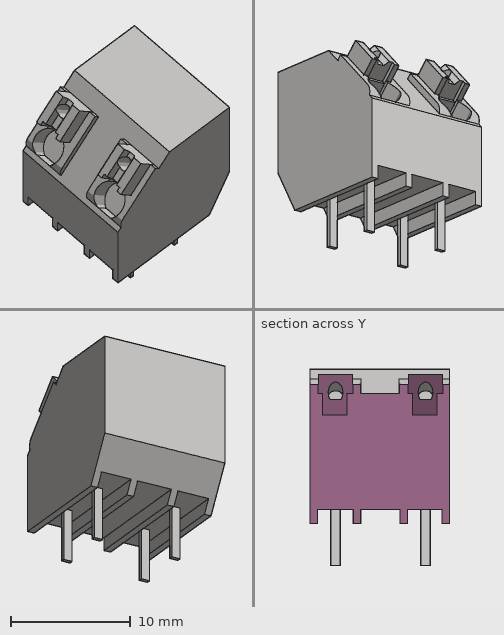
import cadquery as cq
import math


width = 11.63
depth = 12.7
height = 12.87
front_height = 7.0
rear_chamfer_run = 2.28
rear_chamfer_rise = rear_chamfer_run * math.tan(math.radians(60))

pole_pitch = 7.5
first_pole_x = 2.13
pole_centres = [first_pole_x, first_pole_x + pole_pitch]

foot_height = 1.17
foot_width = 0.64
inner_foot_left = 3.6
channels = [
    (foot_width, inner_foot_left),
    (inner_foot_left + foot_width, pole_pitch),
    (pole_pitch + foot_width, width - foot_width),
]

pad_width = 4.25
pad_length = 6.05
pad_height = 0.55
pad_round_length = 0.9
pad_round_radius = (pad_round_length**2 + pad_height**2) / (2 * pad_height)
pad_foot_y = 0.37
second_pad_left = 7.42
pad_spans = [(0, pad_width), (second_pad_left, width)]

entry_offset = -0.07
entry_radius = 1.54
entry_centre_v = 1.35
entry_floor = -1.27

cap_width = 2.85
cap_length = 3.19
cap_height = 1.583
cap_low_end = pad_length - cap_length
cap_top = pad_height + cap_height
stem_width = 1.99
stem_length = 2.85

notch_width = 1.87
notch_length = 0.39
notch_floor = 0.25

groove_top_width = 1.18
groove_floor_width = 0.6
groove_depth = 0.49
groove_floor = cap_top - groove_depth
dimple_radius = groove_top_width / 2
dimple_centre_v = 4.99
dimple_depth = 2.0

pin_width = 0.8
pin_thickness = 0.38
pin_drop = 3.5
pin_rows = [3.08, 8.08]

slope = cq.Plane(
    origin=(0, pad_foot_y, front_height + pad_foot_y),
    xDir=(1, 0, 0),
    normal=(0, -1, 1),
)


def slope_box(u_min, u_max, v_min, v_max, w_min, w_max):
    """A block aligned with the slope."""
    return (
        cq.Workplane(slope)
        .workplane(offset=w_min)
        .moveTo((u_min + u_max) / 2, (v_min + v_max) / 2)
        .rect(u_max - u_min, v_max - v_min)
        .extrude(w_max - w_min)
    )


def slope_cylinder(u, v, radius, w_min, w_max):
    """A cylinder standing square to the slope."""
    return (
        cq.Workplane(slope)
        .workplane(offset=w_min)
        .center(u, v)
        .circle(radius)
        .extrude(w_max - w_min)
    )


def make_pad(left, right):
    """A raised pad whose lower end curves down to the slope."""
    side = cq.Plane(origin=slope.toWorldCoords((left, 0, 0)), xDir=slope.yDir, normal=(1, 0, 0))
    return (
        cq.Workplane(side)
        .moveTo(0, 0)
        .radiusArc((pad_round_length, pad_height), pad_round_radius)
        .lineTo(pad_length, pad_height)
        .lineTo(pad_length, -pad_height)
        .lineTo(pad_round_length, -pad_height)
        .close()
        .extrude(right - left)
    )


def make_cap(pole_x):
    """The wide upper part of a button, standing on the slope."""
    return slope_box(
        pole_x - cap_width / 2,
        pole_x + cap_width / 2,
        cap_low_end,
        pad_length,
        0,
        cap_top,
    )


def make_stem(pole_x):
    """The part of a button below the top of its pad."""
    centre = pole_x + entry_offset
    return slope_box(
        centre - stem_width / 2,
        centre + stem_width / 2,
        cap_low_end,
        cap_low_end + stem_length,
        entry_floor,
        pad_height,
    )


def make_button_opening(pole_x):
    """Wire entry hole joined to the recess that holds the button."""
    centre = pole_x + entry_offset
    entry = slope_cylinder(centre, entry_centre_v, entry_radius, entry_floor, pad_height)
    flat_side = slope_box(
        centre - entry_radius,
        centre + entry_radius,
        0,
        entry_centre_v + entry_radius,
        entry_floor,
        pad_height,
    )
    slot_mouth = slope_box(
        centre - stem_width / 2,
        centre + stem_width / 2,
        entry_centre_v,
        cap_low_end,
        entry_floor,
        pad_height,
    )
    return entry.intersect(flat_side).union(slot_mouth).union(make_stem(pole_x)).union(make_cap(pole_x))


def make_housing():
    """Block with a sloping front, feet, pads and an opening for each button."""
    body = (
        cq.Workplane("YZ")
        .moveTo(0, 0)
        .lineTo(0, front_height)
        .lineTo(height - front_height, height)
        .lineTo(depth, height)
        .lineTo(depth, rear_chamfer_rise)
        .lineTo(depth - rear_chamfer_run, 0)
        .close()
        .extrude(width)
    )
    for left, right in channels:
        corner = cq.Workplane("XY", origin=(left, 0, 0))
        body = body.cut(corner.box(right - left, depth, foot_height, centered=False))
    for left, right in pad_spans:
        body = body.union(make_pad(left, right))
    for pole_x in pole_centres:
        body = body.cut(make_button_opening(pole_x))
    return body


def make_groove(pole_x):
    """Groove along the whole top of the cap, with sides that slope in to a flat floor."""
    end = cq.Plane(
        origin=slope.toWorldCoords((pole_x, cap_low_end, 0)),
        xDir=(-1, 0, 0),
        normal=slope.yDir,
    )
    return (
        cq.Workplane(end)
        .moveTo(-groove_top_width / 2, cap_top)
        .lineTo(-groove_floor_width / 2, groove_floor)
        .lineTo(groove_floor_width / 2, groove_floor)
        .lineTo(groove_top_width / 2, cap_top)
        .close()
        .extrude(cap_length)
    )


def make_button(pole_x):
    """Push button with a notched low end, a screwdriver groove and a dimple."""
    notch = slope_box(
        pole_x - notch_width / 2,
        pole_x + notch_width / 2,
        cap_low_end,
        cap_low_end + notch_length,
        notch_floor,
        cap_top,
    )
    dimple = slope_cylinder(
        pole_x, dimple_centre_v, dimple_radius, groove_floor - dimple_depth, cap_top
    )
    return make_cap(pole_x).union(make_stem(pole_x)).cut(notch).cut(make_groove(pole_x)).cut(dimple)


def make_pin(pole_x, row_y):
    """Flat pin hanging from the roof of its channel."""
    return (
        cq.Workplane("XY", origin=(pole_x, row_y, -pin_drop))
        .rect(pin_width, pin_thickness)
        .extrude(pin_drop + foot_height)
    )


housing = make_housing()
buttons = [make_button(pole_x) for pole_x in pole_centres]
pins = [make_pin(pole_x, row_y) for pole_x in pole_centres for row_y in pin_rows]

result = cq.Compound.makeCompound(
    [housing.val(), *[button.val() for button in buttons], *[pin.val() for pin in pins]]
)